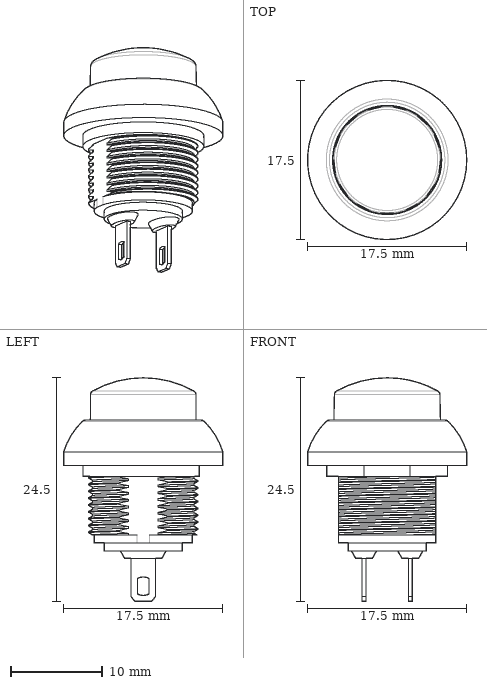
import cadquery as cq
import math

COLLAR_BOTTOM = -1.2
THREAD_BOTTOM = -7.6
TAIL_BOTTOM = -8.5
BASE_BOTTOM = -9.4
BUSHING_BOTTOM = -10.2
TERMINAL_BOTTOM = -14.9
RIM_HEIGHT = 1.5
BEZEL_TOP = 5.0
BUTTON_TOP = 9.64

BEZEL_RADIUS = 17.5 / 2
BEZEL_TOP_RADIUS = 6.54
BEZEL_ARC_RADIUS = 16 / 2
BEZEL_EDGE_FILLET = 0.5
BORE_RADIUS = 6.0
BORE_FLOOR = RIM_HEIGHT

COLLAR_RADIUS = 13.3 / 2
COLLAR_FLAT_DISTANCE = 6.15

THREAD_RADIUS = 12 / 2
PITCH = 0.75
THREAD_DEPTH = PITCH * math.sqrt(3) / 2 * 5 / 8
CORE_RADIUS = THREAD_RADIUS - THREAD_DEPTH
CREST_HALF_WIDTH = PITCH / 16
RIDGE_EMBED = 0.05
THREAD_START = -8.27
THREAD_TURNS = 11
TAIL_RADIUS = 5.4
BARREL_FLAT_DISTANCE = 5.355
BASE_RADIUS = 8.6 / 2

TERMINAL_SPACING = 5.08
TERMINAL_THICKNESS = 0.45
TERMINAL_WIDTH = 2.7
TERMINAL_CORNER_WIDTH = 0.42
TERMINAL_CORNER_HEIGHT = 0.5
EYE_WIDTH = 1.25
EYE_TOP = -12.25
EYE_BOTTOM = -14.25
EYE_END_RADIUS = 2.5 / 2
BUSHING_TOP_LENGTH = 5.0
BUSHING_TOP_WIDTH = 2.75
BUSHING_TAPER = 0.45

BUTTON_BASE_RADIUS = 5.93
BUTTON_TOP_RADIUS = 5.8
BUTTON_SHOULDER = 8.05
BUTTON_EDGE_FILLET = 0.5


def disc(radius, bottom, top):
    return cq.Workplane("XY").workplane(offset=bottom).circle(radius).extrude(top - bottom)


def half_space(distance, bottom, top):
    """Block lying beyond the plane X = distance, used to cut a flat."""
    size = 4 * BEZEL_RADIUS
    block = cq.Workplane("XY").box(size, size, top - bottom, centered=(False, True, False))
    return block.translate((distance, 0, bottom))


def make_bezel():
    profile = (
        cq.Workplane("XZ")
        .lineTo(BEZEL_RADIUS, 0)
        .lineTo(BEZEL_RADIUS, RIM_HEIGHT)
        .radiusArc((BEZEL_TOP_RADIUS, BEZEL_TOP), -BEZEL_ARC_RADIUS)
        .lineTo(0, BEZEL_TOP)
        .close()
    )
    bezel = profile.revolve(360, (0, 0), (0, 1))
    bezel = bezel.faces(">Z").edges().fillet(BEZEL_EDGE_FILLET)
    return bezel.cut(disc(BORE_RADIUS, BORE_FLOOR, BEZEL_TOP))


def make_collar():
    flat = half_space(COLLAR_FLAT_DISTANCE, COLLAR_BOTTOM, 0).rotate((0, 0, 0), (0, 0, 1), -90)
    return disc(COLLAR_RADIUS, COLLAR_BOTTOM, 0).cut(flat)


def make_thread_ridge():
    """Right-handed helical ridge that runs past both ends of the threaded length."""
    root_radius = CORE_RADIUS - RIDGE_EMBED
    root_half_width = CREST_HALF_WIDTH + (THREAD_DEPTH + RIDGE_EMBED) * math.tan(math.radians(30))
    helix = cq.Wire.makeHelix(PITCH, THREAD_TURNS * PITCH, CORE_RADIUS)
    section = cq.Workplane("XZ").polyline([
        (root_radius, -root_half_width),
        (THREAD_RADIUS, -CREST_HALF_WIDTH),
        (THREAD_RADIUS, CREST_HALF_WIDTH),
        (root_radius, root_half_width),
    ]).close()
    ridge = section.sweep(cq.Workplane(obj=helix), isFrenet=True)
    return ridge.translate((0, 0, THREAD_START))


def make_thread():
    """Core and ridge joined over a generous length, then trimmed to the threaded length."""
    core = disc(CORE_RADIUS, TAIL_BOTTOM - PITCH, BEZEL_TOP)
    envelope = disc(THREAD_RADIUS + PITCH, THREAD_BOTTOM, COLLAR_BOTTOM)
    return core.union(make_thread_ridge()).intersect(envelope)


def make_barrel():
    barrel = make_thread().union(disc(TAIL_RADIUS, TAIL_BOTTOM, THREAD_BOTTOM))
    flat = half_space(BARREL_FLAT_DISTANCE, TAIL_BOTTOM, COLLAR_BOTTOM)
    for angle in (0, 180):
        barrel = barrel.cut(flat.rotate((0, 0, 0), (0, 0, 1), angle))
    return barrel.union(disc(BASE_RADIUS, BASE_BOTTOM, TAIL_BOTTOM))


def make_bushing():
    half_width = BUSHING_TOP_WIDTH / 2
    half_length = BUSHING_TOP_LENGTH / 2
    return (
        cq.Workplane("XY")
        .workplane(offset=BASE_BOTTOM)
        .ellipse(half_width, half_length)
        .workplane(offset=BUSHING_BOTTOM - BASE_BOTTOM)
        .ellipse(half_width - BUSHING_TAPER, half_length - BUSHING_TAPER)
        .loft(ruled=True)
    )


def make_terminal():
    """Flat tab with cut corners and a solder eye with arched ends."""
    half_width = TERMINAL_WIDTH / 2
    tip_half_width = half_width - TERMINAL_CORNER_WIDTH
    corner_top = TERMINAL_BOTTOM + TERMINAL_CORNER_HEIGHT
    eye_half_width = EYE_WIDTH / 2
    eye_arch = EYE_END_RADIUS - math.sqrt(EYE_END_RADIUS**2 - eye_half_width**2)
    tab = cq.Workplane("YZ").polyline([
        (-half_width, BUSHING_BOTTOM),
        (half_width, BUSHING_BOTTOM),
        (half_width, corner_top),
        (tip_half_width, TERMINAL_BOTTOM),
        (-tip_half_width, TERMINAL_BOTTOM),
        (-half_width, corner_top),
    ]).close().extrude(TERMINAL_THICKNESS / 2, both=True)
    eye = (
        cq.Workplane("YZ")
        .moveTo(-eye_half_width, EYE_BOTTOM + eye_arch)
        .threePointArc((0, EYE_BOTTOM), (eye_half_width, EYE_BOTTOM + eye_arch))
        .lineTo(eye_half_width, EYE_TOP - eye_arch)
        .threePointArc((0, EYE_TOP), (-eye_half_width, EYE_TOP - eye_arch))
        .close()
        .extrude(TERMINAL_THICKNESS, both=True)
    )
    return tab.cut(eye)


def make_housing():
    housing = make_bezel().union(make_collar()).union(make_barrel())
    contact = make_bushing().union(make_terminal())
    for side in (-1, 1):
        housing = housing.union(contact.translate((side * TERMINAL_SPACING / 2, 0, 0)))
    return housing


def make_button():
    """Slightly tapered domed cap standing on the bore floor."""
    dome_rise = BUTTON_TOP - BUTTON_SHOULDER
    dome_radius = (BUTTON_TOP_RADIUS**2 + dome_rise**2) / (2 * dome_rise)
    profile = (
        cq.Workplane("XZ")
        .moveTo(0, BORE_FLOOR)
        .lineTo(BUTTON_BASE_RADIUS, BORE_FLOOR)
        .lineTo(BUTTON_TOP_RADIUS, BUTTON_SHOULDER)
        .radiusArc((0, BUTTON_TOP), -dome_radius)
        .close()
    )
    cap = profile.revolve(360, (0, 0), (0, 1))
    shoulder = cq.selectors.NearestToPointSelector((0, 0, BUTTON_SHOULDER))
    return cap.edges(shoulder).fillet(BUTTON_EDGE_FILLET)


housing = make_housing()
button = make_button()
result = cq.Compound.makeCompound([housing.val(), button.val()])